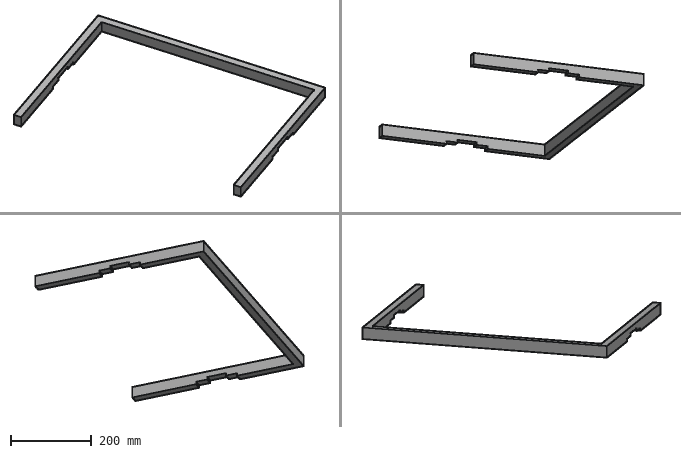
import cadquery as cq

length_x = 634.0
depth_y = 453.0
height_z = 30.0
bar_width = 20.0

wide_notch_length = 109.5
wide_notch_height = 7.0
narrow_notch_length = 50.0
narrow_notch_height = 14.0


def make_frame():
    """Three bars forming a U that is open towards -Y."""
    outer = cq.Workplane("XY").box(length_x, depth_y, height_z, centered=(True, True, False))
    opening = (
        cq.Workplane("XY")
        .box(length_x - 2 * bar_width, depth_y, height_z, centered=(True, True, False))
        .translate((0, -bar_width, 0))
    )
    return outer.cut(opening)


def make_notch(notch_length, notch_height):
    """Notch rising from the underside, running across both arms."""
    return cq.Workplane("XY").box(length_x, notch_length, notch_height, centered=(True, True, False))


result = (
    make_frame()
    .cut(make_notch(wide_notch_length, wide_notch_height))
    .cut(make_notch(narrow_notch_length, narrow_notch_height))
)